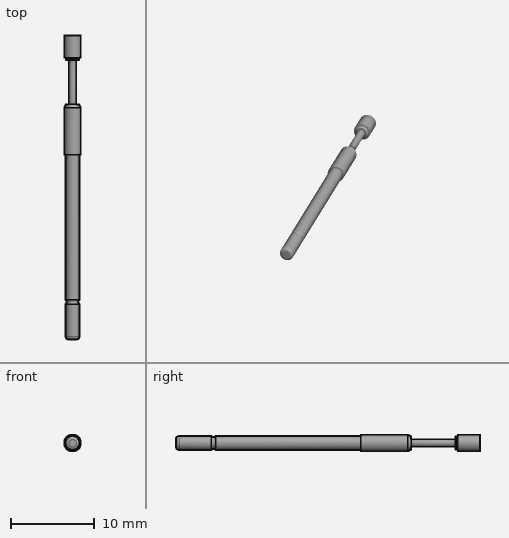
import cadquery as cq


head_diameter = 2.0
neck_diameter = 1.65
stem_diameter = 0.9
collar_diameter = 2.0
barrel_diameter = 1.68

total_length = 36.27
head_length = 2.67
neck_length = 0.33
stem_length = 5.23
collar_length = 6.0
tail_length = 4.22

neck_chamfer = 0.13
collar_chamfer_length = 0.4
collar_chamfer_depth = 0.2
tail_fillet_radius = 0.4
groove_width = 0.55
groove_depth = 0.14

collar_top = collar_length
neck_bottom = collar_top + stem_length
head_bottom = neck_bottom + neck_length
head_top = head_bottom + head_length
barrel_end = head_top - total_length
groove_start = barrel_end + tail_length
groove_end = groove_start + groove_width


def turned_section(diameter, start, end):
    """Cylinder around the Y axis from start to end, with start below end."""
    return (
        cq.Workplane("XZ", origin=(0, end, 0))
        .circle(diameter / 2)
        .extrude(end - start)
    )


def revolve_profile(profile):
    """Turn a closed XY profile around the Y axis."""
    return profile.revolve(360, (0, 0, 0), (0, 1, 0))


def make_plunger():
    """Contact head, its short chamfered neck and the slim stem."""
    head = turned_section(head_diameter, head_bottom, head_top)
    neck = turned_section(neck_diameter, neck_bottom, head_bottom)
    neck = neck.faces("<Y").chamfer(neck_chamfer)
    stem = turned_section(stem_diameter, collar_top, neck_bottom)
    return head.union(neck).union(stem)


def make_collar():
    """Press-fit collar with a long, shallow chamfer at the stem end."""
    radius = collar_diameter / 2
    return revolve_profile(
        cq.Workplane("XY")
        .lineTo(radius, 0)
        .lineTo(radius, collar_top - collar_chamfer_length)
        .lineTo(radius - collar_chamfer_depth, collar_top)
        .lineTo(0, collar_top)
        .close()
    )


def make_groove():
    """Ring-shaped cutter with a concave arc floor for the crimp groove."""
    radius = barrel_diameter / 2
    floor = (radius - groove_depth, groove_start + groove_width / 2)
    return revolve_profile(
        cq.Workplane("XY")
        .moveTo(radius, groove_start)
        .threePointArc(floor, (radius, groove_end))
        .lineTo(collar_diameter / 2, groove_end)
        .lineTo(collar_diameter / 2, groove_start)
        .close()
    )


def make_barrel():
    """Barrel with a rounded tail end and a crimp groove near it."""
    barrel = turned_section(barrel_diameter, barrel_end, 0)
    barrel = barrel.faces("<Y").edges().fillet(tail_fillet_radius)
    return barrel.cut(make_groove())


result = make_barrel().union(make_collar()).union(make_plunger())